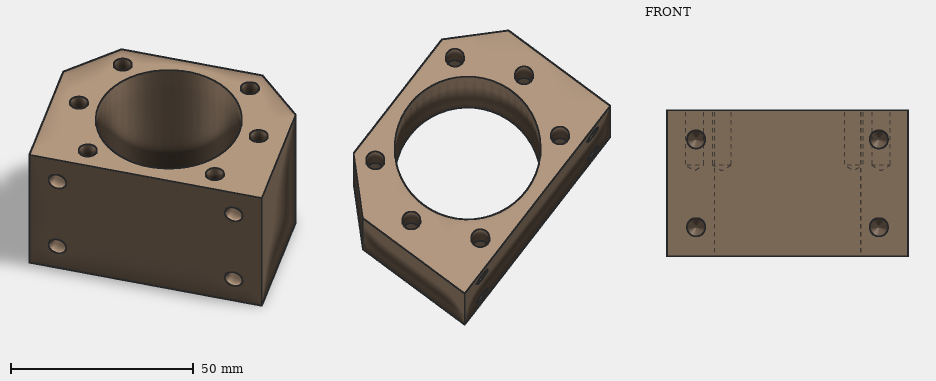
import cadquery as cq
import math

width = 66.0
depth = 48.0
height = 40.0
corner_cut = 13.0

bore_diameter = 40.0

hole_diameter = 5.0
hole_depth = 15.0
drill_point_angle = 118.0

bolt_circle_diameter = 51.0
bolt_angles = (-45, 0, 45, 135, 180, 225)

mount_spacing_x = 50.0
mount_spacing_z = 24.0


def drilled_hole(mouth, direction):
    """Solid of a drilled hole: a cylinder ending in a drill-point cone."""
    radius = hole_diameter / 2
    tip_length = radius / math.tan(math.radians(drill_point_angle / 2))
    cylinder = cq.Solid.makeCylinder(radius, hole_depth, mouth, direction)
    tip_start = mouth + direction * hole_depth
    tip = cq.Solid.makeCone(radius, 0, tip_length, tip_start, direction)
    return cq.Workplane(cylinder).union(cq.Workplane(tip))


result = (
    cq.Workplane("XY")
    .box(width, depth, height)
    .edges("|Z and >Y")
    .chamfer(corner_cut)
    .faces(">Z")
    .workplane(origin=(0, 0, 0))
    .hole(bore_diameter)
)

bolt_radius = bolt_circle_diameter / 2
down = cq.Vector(0, 0, -1)
for angle in bolt_angles:
    x = bolt_radius * math.cos(math.radians(angle))
    y = bolt_radius * math.sin(math.radians(angle))
    result = result.cut(drilled_hole(cq.Vector(x, y, height / 2), down))

inward = cq.Vector(0, 1, 0)
for side_x in (-1, 1):
    for side_z in (-1, 1):
        x = side_x * mount_spacing_x / 2
        z = side_z * mount_spacing_z / 2
        result = result.cut(drilled_hole(cq.Vector(x, -depth / 2, z), inward))